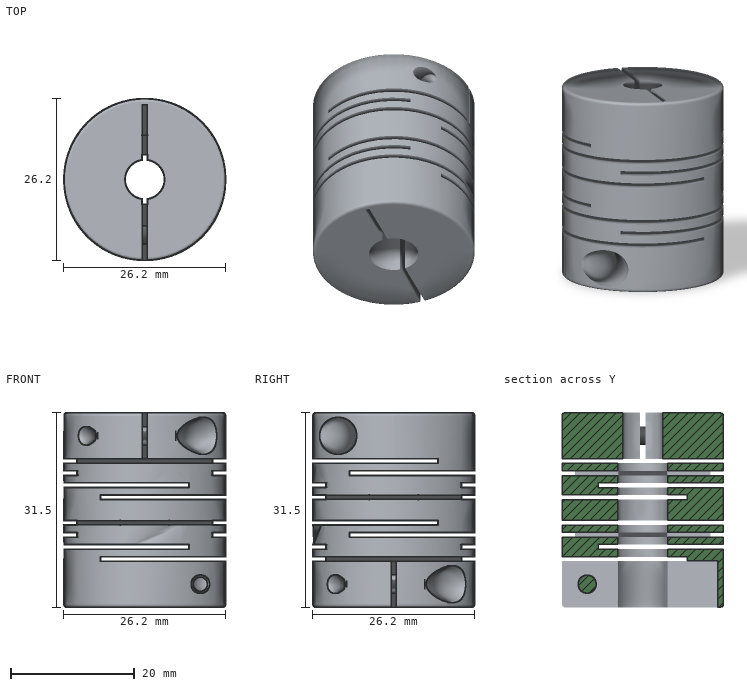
import cadquery as cq


outer_diameter = 26.2
outer_radius = outer_diameter / 2
length = 31.5
edge_round = 0.5

top_bore_diameter = 6.35
main_bore_diameter = 8.0

slot_height = 0.7
slot_pitch = 1.95
group_pitch = 10.0
group_count = 2
slot_reach = 7.15
slots_per_group = 4
flexure_length = (group_count - 1) * group_pitch + (slots_per_group - 1) * slot_pitch + slot_height
hub_height = (length - flexure_length) / 2

slit_width = 0.85
slit_reach = 12.1

screw_diameter = 3.0
screw_offset = 9.0
screw_height = hub_height / 2
screw_tip = 8.0
tip_chamfer = 0.35
head_pocket_diameter = 6.0
head_pocket_floor = 5.0


def make_body():
    """Cylinder with rounded end edges and a stepped bore."""
    body = cq.Workplane("XY").circle(outer_radius).extrude(length)
    body = body.faces("<Z or >Z").edges().fillet(edge_round)
    top_bore = cq.Workplane("XY").circle(top_bore_diameter / 2).extrude(length)
    main_bore = cq.Workplane("XY").circle(main_bore_diameter / 2).extrude(length - hub_height)
    return body.cut(top_bore).cut(main_bore)


def flexure_slot(top, open_angle):
    """Slot entering from -Y, turned by open_angle about Z, with its upper wall at Z = top."""
    depth = outer_radius + slot_reach
    return (
        cq.Workplane("XY")
        .box(outer_diameter, depth, slot_height, centered=(True, False, False))
        .translate((0, -outer_radius, top - slot_height))
        .rotate((0, 0, 0), (0, 0, 1), open_angle)
    )


def cut_flexure_slots(body):
    """Cut each group from the top down: open to -Y, +Y, -X and +X."""
    open_angles = (0, 180, -90, 90)
    for group in range(group_count):
        group_top = length - hub_height - group * group_pitch
        for index, angle in enumerate(open_angles):
            body = body.cut(flexure_slot(group_top - index * slot_pitch, angle))
    return body


def cylinder_along_x(diameter, start, end):
    """Cylinder on the top screw axis, between two X positions."""
    return (
        cq.Workplane("YZ", origin=(start, -screw_offset, length - screw_height))
        .circle(diameter / 2)
        .extrude(end - start)
    )


def clamp_cutter():
    """Everything removed from the top hub: slit, head pocket and screw hole, less the screw."""
    slit = (
        cq.Workplane("XY")
        .box(slit_width, outer_radius + slit_reach, hub_height, centered=(True, False, False))
        .translate((0, -outer_radius, length - hub_height))
    )
    head_pocket = cylinder_along_x(head_pocket_diameter, head_pocket_floor, outer_radius)
    screw_hole = cylinder_along_x(screw_diameter, -outer_radius, head_pocket_floor)
    screw = cylinder_along_x(screw_diameter, -screw_tip, head_pocket_floor)
    screw = screw.faces("<X").chamfer(tip_chamfer)
    return slit.union(head_pocket).union(screw_hole).cut(screw)


def make_coupling():
    """Coupling whose bottom clamp mirrors the top one and is turned a quarter turn."""
    top_clamp = clamp_cutter()
    bottom_clamp = top_clamp.mirror("XY", (0, 0, length / 2)).rotate((0, 0, 0), (0, 0, 1), 90)
    return cut_flexure_slots(make_body()).cut(top_clamp).cut(bottom_clamp)


result = make_coupling()